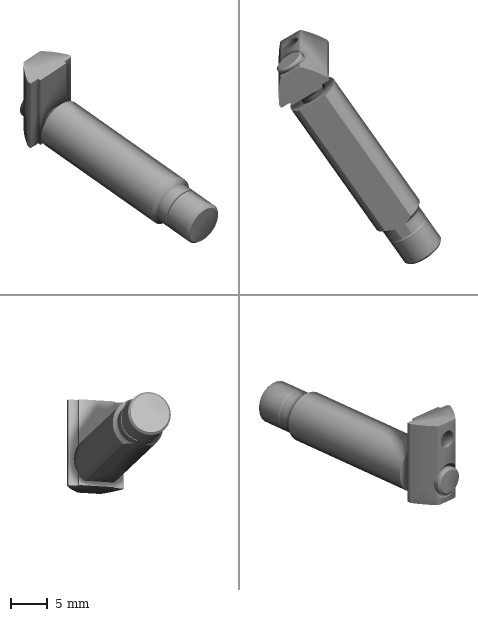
import cadquery as cq
import math

total_length = 34.0

nut_height = 12.0
nut_bottom = -3.2
nut_front = 0.45
nut_shoulder = 4.2
nut_back = 4.65
nut_half_width = 3.88
front_half_width = 1.6
tongue_half_width = 2.45
flank_end = 3.67
flank_bulge = 0.15
front_edge_radius = 0.48
shoulder_edge_radius = 0.15
countersink_diameter = 4.95
seat_diameter = 2.45
seat_height = 6.3
seat_depth = 2.05
drill_tip_angle = 118.0

thread_diameter = 4.0
shank_diameter = 3.4
tip_chamfer_length = 0.2
tip_face_diameter = 3.4
thread_end = 5.15
head_diameter = 6.0
head_chamfer = 0.3
head_neck_chamfer_length = 0.17
head_neck_chamfer_depth = 0.17

sleeve_diameter = 7.1
sleeve_bore = 4.2
sleeve_start = 6.0
sleeve_end = 29.75
sleeve_neck_start = 28.0
sleeve_flat_height = 2.9


def revolve_about_x(points):
    """Revolve a closed (x, radius) outline about the X axis."""
    return cq.Workplane("XY").polyline(points).close().revolve(360, (0, 0, 0), (1, 0, 0))


def x_cylinder(diameter, start, end):
    """Cylinder on the screw axis."""
    return (
        cq.Workplane("YZ", origin=(start, 0, 0))
        .circle(diameter / 2)
        .extrude(end - start)
    )


def make_nut_blank():
    flank_run = flank_end - nut_front
    flank_rise = nut_half_width - front_half_width
    flank_length = math.hypot(flank_run, flank_rise)
    bulge_x = nut_front + flank_run / 2 - flank_bulge * flank_rise / flank_length
    bulge_y = front_half_width + flank_rise / 2 + flank_bulge * flank_run / flank_length
    blank = (
        cq.Workplane("XY", origin=(0, 0, nut_bottom))
        .moveTo(nut_front, front_half_width)
        .threePointArc((bulge_x, bulge_y), (flank_end, nut_half_width))
        .lineTo(nut_shoulder, nut_half_width)
        .lineTo(nut_shoulder, tongue_half_width)
        .lineTo(nut_back, tongue_half_width)
        .lineTo(nut_back, -tongue_half_width)
        .lineTo(nut_shoulder, -tongue_half_width)
        .lineTo(nut_shoulder, -nut_half_width)
        .lineTo(flank_end, -nut_half_width)
        .threePointArc((bulge_x, -bulge_y), (nut_front, -front_half_width))
        .close()
        .extrude(nut_height)
    )
    for side in (1, -1):
        front_edge = cq.selectors.NearestToPointSelector(
            (nut_front, side * front_half_width, nut_bottom + nut_height / 2)
        )
        blank = blank.edges(front_edge).fillet(front_edge_radius)
        for half_width in (nut_half_width, tongue_half_width):
            shoulder_edge = cq.selectors.NearestToPointSelector(
                (nut_shoulder, side * half_width, nut_bottom + nut_height / 2)
            )
            blank = blank.edges(shoulder_edge).fillet(shoulder_edge_radius)
    return blank


def make_countersink():
    """45 degree cone opening the screw hole at the front of the nut."""
    radius = countersink_diameter / 2
    return revolve_about_x([(nut_front, 0), (nut_front, radius), (nut_front + radius, 0)])


def make_seat():
    """Blind hole with a drill-point bottom, above the screw."""
    radius = seat_diameter / 2
    wall_end = nut_front + seat_depth
    tip = wall_end + radius / math.tan(math.radians(drill_tip_angle / 2))
    outline = [(nut_front, 0), (nut_front, radius), (wall_end, radius), (tip, 0)]
    return revolve_about_x(outline).translate((0, 0, seat_height))


def make_nut():
    screw_hole = x_cylinder(thread_diameter, nut_front, nut_back)
    return make_nut_blank().cut(screw_hole).cut(make_countersink()).cut(make_seat())


def make_screw():
    thread_radius = thread_diameter / 2
    shank_radius = shank_diameter / 2
    head_radius = head_diameter / 2
    return revolve_about_x([
        (0, 0),
        (0, tip_face_diameter / 2),
        (tip_chamfer_length, thread_radius),
        (thread_end, thread_radius),
        (thread_end + thread_radius - shank_radius, shank_radius),
        (sleeve_end, shank_radius),
        (sleeve_end, head_radius - head_neck_chamfer_depth),
        (sleeve_end + head_neck_chamfer_length, head_radius),
        (total_length - head_chamfer, head_radius),
        (total_length, head_radius - head_chamfer),
        (total_length, 0),
    ])


def make_sleeve():
    outer_radius = sleeve_diameter / 2
    neck_radius = head_diameter / 2
    bore_radius = sleeve_bore / 2
    sleeve = revolve_about_x([
        (sleeve_start, bore_radius),
        (sleeve_start, outer_radius),
        (sleeve_neck_start - (outer_radius - neck_radius), outer_radius),
        (sleeve_neck_start, neck_radius),
        (sleeve_end, neck_radius),
        (sleeve_end, bore_radius),
    ])
    below_flat = cq.Workplane("XY").box(
        sleeve_end, sleeve_diameter, sleeve_diameter, centered=(False, True, False)
    ).translate((0, 0, -sleeve_flat_height - sleeve_diameter))
    return sleeve.cut(below_flat)


nut = make_nut()
screw = make_screw()
sleeve = make_sleeve()

result = cq.Compound.makeCompound([nut.val(), screw.val(), sleeve.val()])